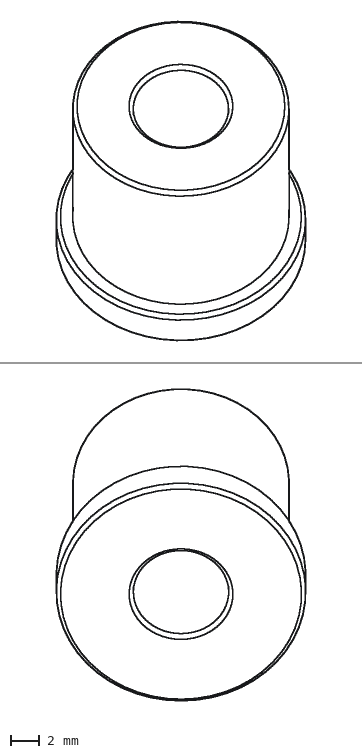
import cadquery as cq

flange_diameter = 17.3
flange_height = 3.0
body_diameter = 15.0
total_height = 16.0
bore_diameter = 6.6
edge_chamfer = 0.3


def chamfered_cylinder(diameter, height):
    """Cylinder on the XY plane with both circular rims chamfered."""
    return cq.Workplane("XY").circle(diameter / 2).extrude(height).edges("%CIRCLE").chamfer(edge_chamfer)


flange = chamfered_cylinder(flange_diameter, flange_height)
body = chamfered_cylinder(body_diameter, total_height)
bushing = flange.union(body)

bore = cq.Workplane("XY").circle(bore_diameter / 2).extrude(total_height)
mouth_diameter = bore_diameter + 2 * edge_chamfer
lower_mouth = cq.Solid.makeCone(mouth_diameter / 2, bore_diameter / 2, edge_chamfer)
upper_mouth = lower_mouth.mirror("XY").translate(cq.Vector(0, 0, total_height))

result = bushing.cut(bore).cut(cq.Workplane(lower_mouth)).cut(cq.Workplane(upper_mouth))